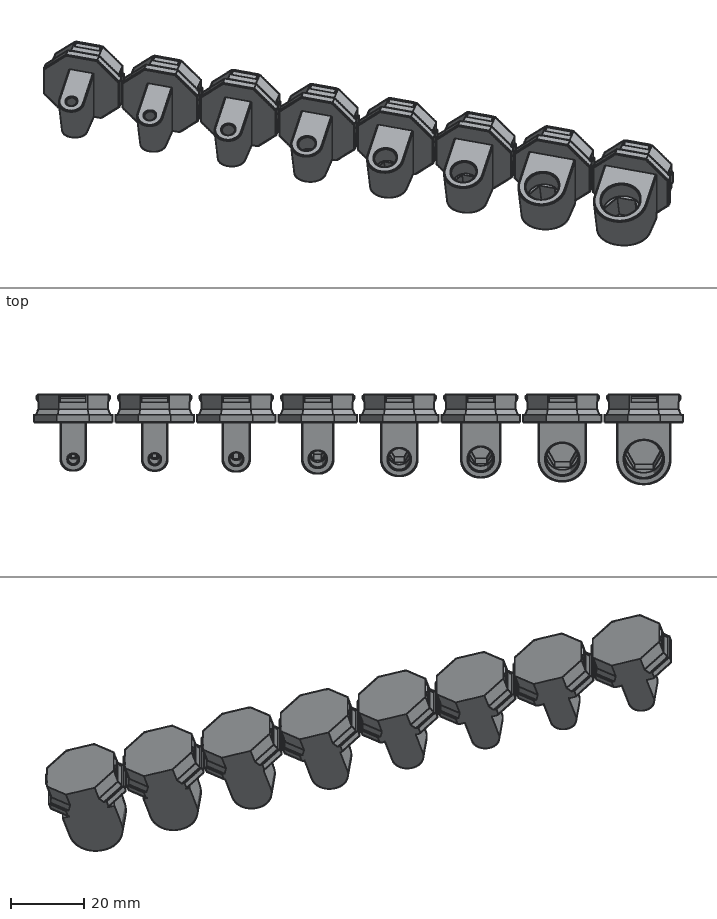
import cadquery as cq
import math

TOTAL_LENGTH = 177.57
PLATE_WIDTH = 21.5
HEIGHT = 20.14

MOUTH_DIAMETERS = [3.4, 3.6, 4.1, 5.2, 6.6, 7.4, 9.6, 11.2]
SOCKET_WALL = 1.8
SMALLEST_POST_WIDTH = 7.1
POST_WIDTHS = [max(SMALLEST_POST_WIDTH, mouth + 2 * SOCKET_WALL) for mouth in MOUTH_DIAMETERS]
PITCH = (TOTAL_LENGTH - PLATE_WIDTH) / (len(MOUTH_DIAMETERS) - 1)

CENTER_Z = HEIGHT - PLATE_WIDTH / 2

TOTAL_DEPTH = 24.65
BACK_Y = 7.7
FLANGE_DEPTH = 2.1
FLANGE_CHAMFER = 0.25
FLARE_DEPTH = 1.6
FLARE_INSET = 0.55
NECK_INSET = 1.2
NECK_WIDTH = PLATE_WIDTH - 2 * NECK_INSET
FLARE_WIDTH = PLATE_WIDTH - 2 * FLARE_INSET
FLARE_Y = FLANGE_DEPTH + FLARE_DEPTH

RIDGE_HEIGHT = 0.55
RIDGE_DEPTH = 2.1
RIDGE_BACK_SLOPE = 0.5
RIDGE_FRONT_SLOPE = 1.0
TOP_RIDGE_LENGTH = 7.0
SIDE_RIDGE_LENGTH = 3.2
SLIT_LENGTH = 7.0
SLIT_WIDTH = 1.1
SLIT_DEPTH = 1.5

TILT = 15.0
POST_ROOT_Z = 15.4
POST_CHAMFER = 0.3
NOSE_FLAT = 0.3
POST_REACH = TOTAL_DEPTH - BACK_Y
TILT_COS = math.cos(math.radians(TILT))
TILT_SIN = math.sin(math.radians(TILT))
TILT_TAN = math.tan(math.radians(TILT))
CHAMFERED_NOSE = (max(POST_WIDTHS) - NOSE_FLAT) / 2 * TILT_COS - POST_CHAMFER * TILT_SIN
AXIS_REACH = POST_REACH - CHAMFERED_NOSE
AXIS_TOP_Z = POST_ROOT_Z - AXIS_REACH * TILT_TAN

MOUTH_CHAMFER = 0.3
MOUTH_DEPTH = 5.5
HEXAGON_LEDGE = 0.25
FLOOR_Z = 1.0

OCTAGON_SIDES = 8
HALF_SIDE_ANGLE = 180 / OCTAGON_SIDES

OVERSIZE = 60.0


def octagon(across_flats, y):
    """Octagon lying in the XZ plane at y, with flat top and sides."""
    corner_diameter = across_flats / math.cos(math.radians(HALF_SIDE_ANGLE))
    return (
        cq.Workplane("XZ", origin=(0, y, CENTER_Z))
        .transformed(rotate=(0, 0, HALF_SIDE_ANGLE))
        .polygon(OCTAGON_SIDES, corner_diameter)
    )


def above(z):
    """Large block filling everything above height z."""
    return cq.Workplane("XY", origin=(0, 0, z)).rect(OVERSIZE, OVERSIZE).extrude(OVERSIZE)


def ridge(length):
    """Snap ridge on top of the neck, centred on X, running along X."""
    base_z = HEIGHT - NECK_INSET
    root_z = base_z - RIDGE_HEIGHT
    crest_z = base_z + RIDGE_HEIGHT
    front_y = BACK_Y - RIDGE_DEPTH
    return (
        cq.Workplane("YZ", origin=(-length / 2, 0, 0))
        .moveTo(front_y, root_z)
        .lineTo(front_y, base_z)
        .lineTo(front_y + RIDGE_FRONT_SLOPE, crest_z)
        .lineTo(BACK_Y - RIDGE_BACK_SLOPE, crest_z)
        .lineTo(BACK_Y, base_z)
        .lineTo(BACK_Y, root_z)
        .close()
        .extrude(length)
    )


def turned(shape, angle):
    """Turn a shape about the plate's own Y axis."""
    return shape.rotate((0, 0, CENTER_Z), (0, 1, CENTER_Z), angle)


def side_slit():
    """Slit in the top of the neck just in front of a ridge."""
    return (
        cq.Workplane("XY")
        .box(SLIT_LENGTH, SLIT_WIDTH, 2 * SLIT_DEPTH)
        .translate((0, BACK_Y - RIDGE_DEPTH - SLIT_WIDTH / 2, HEIGHT - NECK_INSET))
    )


def snap_plate():
    flange = octagon(PLATE_WIDTH, 0).extrude(-FLANGE_DEPTH).faces("<Y").chamfer(FLANGE_CHAMFER)
    neck = octagon(NECK_WIDTH, FLARE_Y).extrude(FLARE_Y - BACK_Y)
    flare_wire = octagon(FLARE_WIDTH, FLANGE_DEPTH).wires().val()
    neck_wire = octagon(NECK_WIDTH, FLARE_Y).wires().val()
    flare = cq.Workplane(cq.Solid.makeLoft([flare_wire, neck_wire], True))
    plate = flange.union(flare).union(neck).union(ridge(TOP_RIDGE_LENGTH))
    for angle in (90, -90):
        plate = plate.union(turned(ridge(SIDE_RIDGE_LENGTH), angle))
        plate = plate.cut(turned(side_slit(), angle))
    return plate


POST_TOP = cq.Plane(
    origin=(0, -AXIS_REACH, AXIS_TOP_Z),
    xDir=(1, 0, 0),
    normal=(0, -TILT_SIN, TILT_COS),
)


def post(width):
    """Round-nosed post, square to its sloped top, running back to the plate."""
    half_width = width / 2
    half_flat = NOSE_FLAT / 2
    nose_radius = half_width - half_flat
    arc_middle = half_flat + nose_radius * math.sqrt(0.5)
    arc_drop = nose_radius * math.sqrt(0.5)
    bar = (
        cq.Workplane(POST_TOP)
        .moveTo(-half_width, OVERSIZE)
        .lineTo(-half_width, 0)
        .threePointArc((-arc_middle, -arc_drop), (-half_flat, -nose_radius))
        .lineTo(half_flat, -nose_radius)
        .threePointArc((arc_middle, -arc_drop), (half_width, 0))
        .lineTo(half_width, OVERSIZE)
        .close()
        .extrude(-OVERSIZE)
        .faces(cq.selectors.DirectionMinMaxSelector(POST_TOP.zDir))
        .chamfer(POST_CHAMFER)
    )
    in_front = cq.Workplane("XZ").rect(OVERSIZE, 2 * OVERSIZE).extrude(OVERSIZE)
    return bar.intersect(in_front)


def socket(mouth_diameter):
    """Round mouth with a hexagonal socket below it, ending on a level floor."""
    bore_diameter = mouth_diameter - 2 * MOUTH_CHAMFER
    hexagon_diameter = bore_diameter - 2 * HEXAGON_LEDGE
    mouth = cq.Workplane(POST_TOP).circle(bore_diameter / 2).extrude(-MOUTH_DEPTH)
    rim = cq.Workplane(
        cq.Solid.makeCone(
            bore_diameter / 2,
            mouth_diameter / 2,
            MOUTH_CHAMFER,
            POST_TOP.origin - POST_TOP.zDir * MOUTH_CHAMFER,
            POST_TOP.zDir,
        )
    )
    hexagon = cq.Workplane(POST_TOP).polygon(6, hexagon_diameter).extrude(-OVERSIZE)
    return mouth.union(rim).union(hexagon).intersect(above(FLOOR_Z))


def holder(mouth_diameter, post_width):
    body = snap_plate().union(post(post_width))
    return body.cut(socket(mouth_diameter)).intersect(above(0))


holders = [
    holder(mouth_diameter, post_width).translate((index * PITCH, 0, 0)).val()
    for index, (mouth_diameter, post_width) in enumerate(zip(MOUTH_DIAMETERS, POST_WIDTHS))
]

result = cq.Compound.makeCompound(holders)